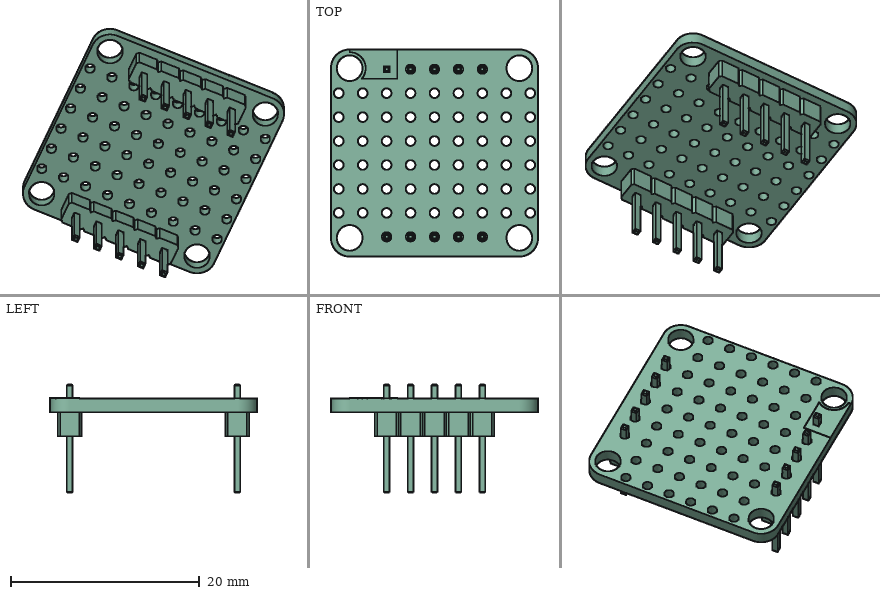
import cadquery as cq
import math

pitch = 2.54

board_size = 22.0
board_thickness = 1.5
corner_radius = 2.0
mount_offset = board_size / 2 - corner_radius
mount_diameter = 2.7
hole_diameter = 1.0
grid_columns = 9
grid_rows = 6

pad_height = 0.06
pad_right = -3.95
pad_front = 7.86
pad_ring_width = 0.35
pad_ring_radius = mount_diameter / 2 + pad_ring_width

pins_per_header = 5
header_y = (grid_rows + 1) / 2 * pitch
holder_height = pitch
holder_chamfer = pitch / 10
pin_width = 0.64
pin_tip_chamfer = 0.15
pin_above_board = 1.5
pin_below_holder = 6.0
pin_bottom = -holder_height - pin_below_holder
pin_length = board_thickness + pin_above_board - pin_bottom


def centred_row(count):
    """Positions of `count` items at the common pitch, centred on zero."""
    return [(i - (count - 1) / 2) * pitch for i in range(count)]


pin_xs = centred_row(pins_per_header)
ground_pin = (pin_xs[0], header_y)


def make_ground_pad():
    """Thin raised area, cut back around the corner mounting hole."""
    half = board_size / 2
    arc_end_x = -mount_offset + math.sqrt(pad_ring_radius**2 - (mount_offset - pad_front) ** 2)
    return (
        cq.Workplane("XY", origin=(0, 0, board_thickness))
        .moveTo(-mount_offset, half)
        .lineTo(pad_right, half)
        .lineTo(pad_right, pad_front)
        .lineTo(arc_end_x, pad_front)
        .threePointArc(
            (-mount_offset + pad_ring_radius, mount_offset),
            (-mount_offset, mount_offset + pad_ring_radius),
        )
        .close()
        .extrude(pad_height)
    )


def make_board():
    """Square rounded board with mounting holes, a hole grid, pin holes and the ground pad.

    The ground pin fits closely in a square opening; the other pins have round holes.
    """
    mount_points = [(sx * mount_offset, sy * mount_offset) for sx in (-1, 1) for sy in (-1, 1)]
    grid_points = [(x, y) for x in centred_row(grid_columns) for y in centred_row(grid_rows)]
    pin_points = [(x, side * header_y) for x in pin_xs for side in (-1, 1)]
    round_pin_points = [point for point in pin_points if point != ground_pin]
    board = (
        cq.Workplane("XY")
        .rect(board_size, board_size)
        .extrude(board_thickness)
        .edges("|Z")
        .fillet(corner_radius)
    )
    mount_holes = (
        cq.Workplane("XY").pushPoints(mount_points).circle(mount_diameter / 2).extrude(board_thickness)
    )
    small_holes = (
        cq.Workplane("XY")
        .pushPoints(grid_points + round_pin_points)
        .circle(hole_diameter / 2)
        .extrude(board_thickness)
    )
    ground_opening = (
        cq.Workplane("XY")
        .center(*ground_pin)
        .rect(pin_width, pin_width)
        .extrude(board_thickness + pad_height)
    )
    return board.cut(mount_holes).cut(small_holes).union(make_ground_pad()).cut(ground_opening)


def make_holder_block(x, y):
    """One chamfered cell of the header's holder, hanging below the board."""
    return (
        cq.Workplane("XY", origin=(x, y, -holder_height))
        .rect(pitch, pitch)
        .extrude(holder_height)
        .edges("|Z")
        .chamfer(holder_chamfer)
    )


def make_pin(x, y):
    """Square pin with chamfered tips at both ends."""
    return (
        cq.Workplane("XY", origin=(x, y, pin_bottom))
        .rect(pin_width, pin_width)
        .extrude(pin_length)
        .faces("<Z or >Z")
        .edges()
        .chamfer(pin_tip_chamfer)
    )


def make_header(y):
    """Row of holder cells and their pins, as one solid."""
    header = make_holder_block(pin_xs[0], y)
    for x in pin_xs[1:]:
        header = header.union(make_holder_block(x, y))
    for x in pin_xs:
        header = header.union(make_pin(x, y))
    return header


board = make_board()
headers = [make_header(side * header_y) for side in (-1, 1)]

result = cq.Compound.makeCompound([board.val(), *[header.val() for header in headers]])